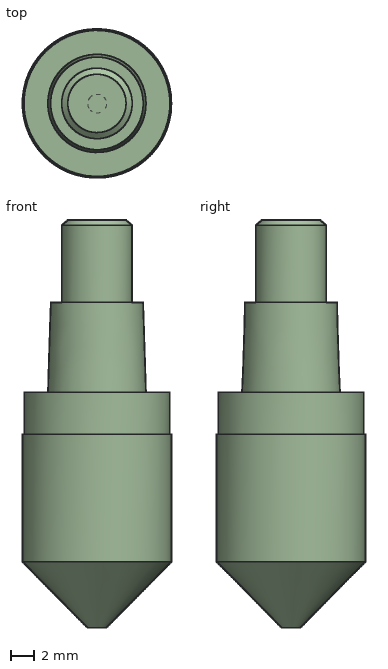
import cadquery as cq

total_length = 34.75
cone_height = 5.63
tip_body_top = 16.5
collar_top = 20.08
neck_top = 27.72

tip_flat_diameter = 1.6
tip_body_diameter = 12.7
collar_diameter = 12.45
neck_base_diameter = 8.37
neck_top_diameter = 7.9
pin_diameter = 6.0

chamfer_height = 0.45
chamfer_width = 0.52


def revolve_profile(profile):
    """Revolve a closed (radius, height) outline a full turn about the Z axis."""
    return profile.close().revolve(360, (0, 0, 0), (0, 1, 0))


def make_tip():
    """Cylindrical body that narrows to a small flat at its lower end."""
    profile = cq.Workplane("XZ").polyline([
        (0, 0),
        (tip_flat_diameter / 2, 0),
        (tip_body_diameter / 2, cone_height),
        (tip_body_diameter / 2, tip_body_top),
        (0, tip_body_top),
    ])
    return revolve_profile(profile)


def make_shank():
    """Collar resting on the tip, with a tapered neck and a chamfered pin above it."""
    profile = (
        cq.Workplane("XZ")
        .moveTo(0, total_length)
        .lineTo(pin_diameter / 2 - chamfer_width, total_length)
        .lineTo(pin_diameter / 2, total_length - chamfer_height)
        .lineTo(pin_diameter / 2, neck_top)
        .lineTo(neck_top_diameter / 2, neck_top)
        .lineTo(neck_base_diameter / 2, collar_top)
        .lineTo(collar_diameter / 2, collar_top)
        .lineTo(collar_diameter / 2, tip_body_top)
        .lineTo(0, tip_body_top)
    )
    return revolve_profile(profile)


tip = make_tip()
shank = make_shank()

result = cq.Compound.makeCompound([tip.val(), shank.val()])